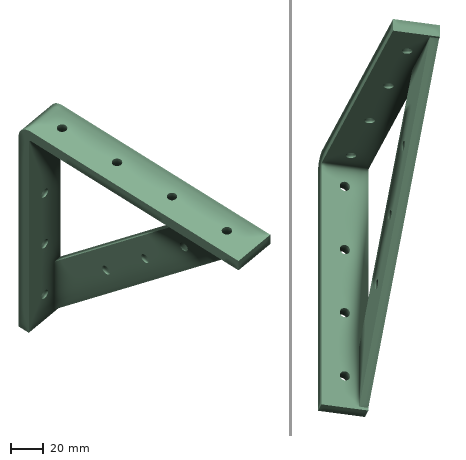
import cadquery as cq
import math

leg_length = 180.0
width = 30.0
thickness = 8.3
outer_radius = 10.0
inner_radius = outer_radius - thickness
hole_diameter = 6.5
leg_hole_count = 4
leg_hole_pitch = leg_length / leg_hole_count
brace_width = 30.0
brace_thickness = 6.0
brace_tip_gap = 2.0
brace_hole_count = 3
brace_hole_pitch = 45.0



def make_legs():
    """Bent flat bar forming two equal legs."""
    profile = (
        cq.Workplane("XZ")
        .moveTo(outer_radius, 0)
        .lineTo(leg_length, 0)
        .lineTo(leg_length, -thickness)
        .lineTo(outer_radius, -thickness)
        .radiusArc((thickness, -outer_radius), -inner_radius)
        .lineTo(thickness, -leg_length)
        .lineTo(0, -leg_length)
        .lineTo(0, -outer_radius)
        .radiusArc((outer_radius, 0), outer_radius)
        .close()
    )
    return profile.extrude(width / 2, both=True)


def make_brace():
    """Diagonal flat bar, cut to fit against the inner faces of both legs."""
    outer_end = leg_length - brace_tip_gap
    inner_end = outer_end - brace_width * math.sqrt(2)
    corners = [
        (thickness, -inner_end),
        (inner_end, -thickness),
        (outer_end, -thickness),
        (thickness, -outer_end),
    ]
    brace = cq.Workplane("XZ", origin=(0, width / 2, 0)).polyline(corners).close().extrude(brace_thickness)

    middle = (inner_end + outer_end + 2 * thickness) / 4
    step = brace_hole_pitch / math.sqrt(2)
    offsets = [(i - (brace_hole_count - 1) / 2) * step for i in range(brace_hole_count)]
    points = [(middle + offset, -middle + offset) for offset in offsets]
    holes = cq.Workplane("XZ").pushPoints(points).circle(hole_diameter / 2).extrude(width, both=True)
    return brace.cut(holes)


def make_leg_holes():
    """Cutters for the evenly spaced screw holes through both legs."""
    places = [(i + 0.5) * leg_hole_pitch for i in range(leg_hole_count)]
    top = (
        cq.Workplane("XY", origin=(0, 0, -thickness))
        .pushPoints([(x, 0) for x in places])
        .circle(hole_diameter / 2)
        .extrude(thickness)
    )
    side = (
        cq.Workplane("YZ")
        .pushPoints([(0, -z) for z in places])
        .circle(hole_diameter / 2)
        .extrude(thickness)
    )
    return top.union(side)


result = make_legs().cut(make_leg_holes()).union(make_brace())